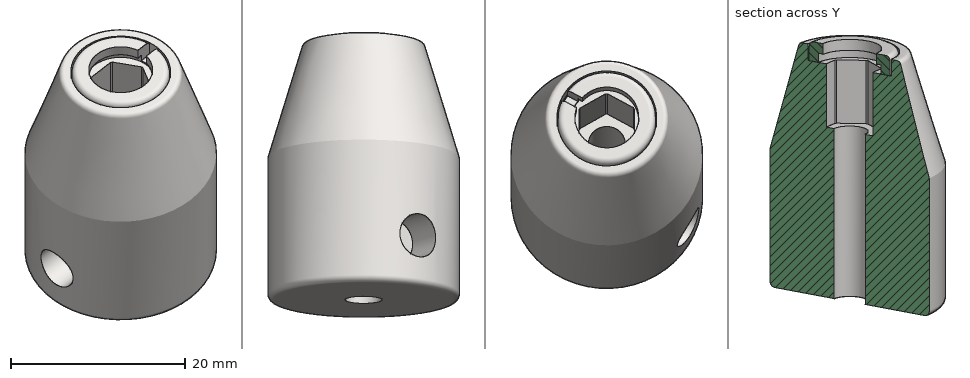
import cadquery as cq
import math

total_height = 30.3
body_radius = 11.0
cylinder_height = 16.55
collar_projection = 0.35
housing_height = total_height - collar_projection
cone_top_radius = 6.95
bottom_fillet = 0.7
top_fillet = 0.6

through_radius = 2.12
socket_depth = 7.58
hex_across_flats = 6.35
hex_corner_radius = 3.6

side_hole_radius = 2.5
side_hole_height = 5.8
side_hole_depth = 4.85

collar_height = 2.33
collar_radius = 5.6
collar_clearance = 0.12
collar_fillet = 0.67
collar_bore_radius = 3.67
undercut_radius = 4.25
undercut_height = 1.03
slot_width = 1.33
slot_floor = 0.18
seat_height = total_height - collar_height


def cylinder(radius, bottom, height):
    return cq.Workplane("XY", origin=(0, 0, bottom)).circle(radius).extrude(height)


def make_hex_socket():
    """Hexagonal prism with corners at +Y and -Y, slightly trimmed by a cylinder."""
    bottom = seat_height - socket_depth
    corner_diameter = hex_across_flats / math.cos(math.radians(30))
    prism = (
        cq.Workplane("XY", origin=(0, 0, bottom))
        .polygon(6, corner_diameter)
        .extrude(socket_depth)
        .rotate((0, 0, 0), (0, 0, 1), 30)
    )
    return prism.intersect(cylinder(hex_corner_radius, bottom, socket_depth))


def make_housing():
    """Cylinder with a tapered nose, bored along its axis and drilled from the side."""
    outer = (
        cq.Workplane("XZ")
        .polyline([
            (0, 0),
            (body_radius, 0),
            (body_radius, cylinder_height),
            (cone_top_radius, housing_height),
            (0, housing_height),
        ])
        .close()
        .revolve(360, (0, 0, 0), (0, 1, 0))
    )
    outer = outer.faces("<Z").edges().fillet(bottom_fillet)
    outer = outer.faces(">Z").edges().fillet(top_fillet)
    recess = cylinder(collar_radius + collar_clearance, seat_height, collar_height)
    side_hole = (
        cq.Workplane("XZ", origin=(0, -body_radius, side_hole_height))
        .circle(side_hole_radius)
        .extrude(-side_hole_depth)
    )
    through_bore = cylinder(through_radius, 0, total_height)
    return outer.cut(recess).cut(make_hex_socket()).cut(through_bore).cut(side_hole)


def make_collar():
    """Rounded ring with an undercut bore and one radial slot on the +Y side."""
    ring = cylinder(collar_radius, seat_height, collar_height)
    ring = ring.faces(">Z").edges().fillet(collar_fillet)
    ring = ring.cut(cylinder(collar_bore_radius, seat_height, collar_height))
    ring = ring.cut(cylinder(undercut_radius, seat_height, undercut_height))
    slot = cq.Workplane("XY", origin=(0, 0, seat_height + slot_floor)).box(
        slot_width, collar_radius, collar_height, centered=(True, False, False)
    )
    return ring.cut(slot)


housing = make_housing()
collar = make_collar()
result = cq.Compound.makeCompound([housing.val(), collar.val()])